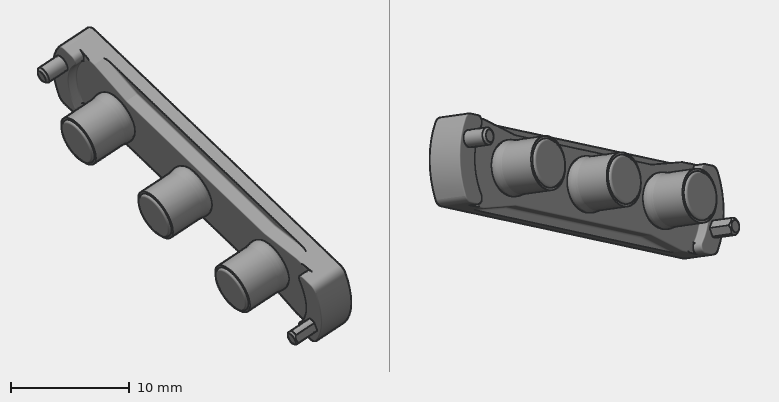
import cadquery as cq
import math

LENGTH = 35.52
HEIGHT = 7.65
PLATE_DEPTH = 3.37
END_RADIUS = 7.45
CORNER_RADIUS = 0.85
BACK_ROUND = 0.2
EDGE_ROUND = 0.1
END_CENTER = LENGTH / 2 - END_RADIUS
TOLERANCE = 0.005

FLOOR_DEPTH = 2.5
POCKET_RADIUS = 5.35
PAD_TIP_RADIUS = 0.57

LEDGE_DEPTH = 1.28
LEDGE_ROUND = 0.16
LEDGE_HALF_LENGTH = 13.32
NARROW_HALF_LENGTH = 9.1
NARROW_HALF_HEIGHT = 3.02

POST_SPACING = 10.15
POST_END = 7.07
POST_RADIUS = 2.3
BEAD_ROOT_RADIUS = 2.25
BEAD_FLARE_RADIUS = 2.38
BEAD_RADIUS = 2.4
BEAD_TAPER_RADIUS = 2.35
BEAD_FLARE = FLOOR_DEPTH + 0.2
BEAD_START = FLOOR_DEPTH + 0.4
BEAD_STOP = FLOOR_DEPTH + 0.57
BEAD_TAPER_END = FLOOR_DEPTH + 0.95
BEAD_END = FLOOR_DEPTH + 1.17

PLUG_RADIUS = 2.1
PLUG_LENGTH = 0.25
PLUG_ROUND = 0.2

PIN_X = 16.48
PIN_Z = 1.6
PIN_END = 5.6
PIN_RADIUS = 0.75
PIN_CHAMFER = 0.2
DIAMOND_HALF_WIDTH = 0.7
DIAMOND_ARC_HALF_WIDTH = 0.32


def front_plane(depth):
    """Sketch plane parallel to XZ, the given distance in front of the back; extrusions go toward -Y."""
    return cq.Workplane("XZ", origin=(0, -depth, 0))


def arc_ended_bar(depth, radius, thickness):
    """Bar of the plate's height whose ends are arcs about the two end centres."""
    half_height = HEIGHT / 2
    corner_x = END_CENTER + math.sqrt(radius**2 - half_height**2)
    tip_x = END_CENTER + radius
    return (
        front_plane(depth)
        .moveTo(-corner_x, -half_height)
        .lineTo(corner_x, -half_height)
        .threePointArc((tip_x, 0), (corner_x, half_height))
        .lineTo(-corner_x, half_height)
        .threePointArc((-tip_x, 0), (-corner_x, -half_height))
        .close()
        .extrude(thickness)
    )


def ledge_cutter(side):
    """Trapezoid removed from the long side at +Z (side = 1) or -Z (side = -1)."""
    outer_z = side * HEIGHT / 2
    inner_z = side * NARROW_HALF_HEIGHT
    return (
        front_plane(LEDGE_DEPTH)
        .polyline(
            [
                (-LEDGE_HALF_LENGTH, outer_z),
                (-NARROW_HALF_LENGTH, inner_z),
                (NARROW_HALF_LENGTH, inner_z),
                (LEDGE_HALF_LENGTH, outer_z),
            ]
        )
        .close()
        .extrude(PLATE_DEPTH - LEDGE_DEPTH)
    )


def polar(radius, angle, center=(0, 0)):
    """Point at a radius and an angle, in radians, about a centre."""
    return (center[0] + radius * math.cos(angle), center[1] + radius * math.sin(angle))


def pad_tip_cutter():
    """Wedge that rounds the pad tip at +X, +Z; its bottom slopes back from the floor toward the outside."""
    top_z = HEIGHT / 2
    inner_radius = POCKET_RADIUS - EDGE_ROUND

    round_z = top_z - PAD_TIP_RADIUS
    wall_angle = math.asin(round_z / (POCKET_RADIUS + PAD_TIP_RADIUS))
    round_center = polar(POCKET_RADIUS + PAD_TIP_RADIUS, wall_angle)
    inner_end_angle = math.asin(top_z / inner_radius)
    round_middle_angle = (wall_angle + 1.5 * math.pi) / 2
    prism = (
        front_plane(0)
        .moveTo(*polar(POCKET_RADIUS, wall_angle))
        .threePointArc(polar(PAD_TIP_RADIUS, round_middle_angle, round_center), (round_center[0], top_z))
        .lineTo(*polar(inner_radius, inner_end_angle))
        .threePointArc(
            polar(inner_radius, (wall_angle + inner_end_angle) / 2),
            polar(inner_radius, wall_angle),
        )
        .close()
        .extrude(PLATE_DEPTH)
    )

    outer_radius = math.hypot(round_center[0], top_z)
    ring = (
        cq.Workplane("XY")
        .moveTo(inner_radius, -FLOOR_DEPTH)
        .lineTo(outer_radius, -FLOOR_DEPTH + EDGE_ROUND)
        .lineTo(outer_radius, -PLATE_DEPTH)
        .lineTo(inner_radius, -PLATE_DEPTH)
        .close()
        .revolve(360, (0, 0, 0), (0, 1, 0))
    )
    return prism.intersect(ring).translate((END_CENTER, 0, 0))


def slab(depth):
    """Selector for what lies within a hair of the given distance in front of the back."""
    near = (-LENGTH, -depth - TOLERANCE, -LENGTH)
    far = (LENGTH, -depth + TOLERANCE, LENGTH)
    return cq.selectors.BoxSelector(near, far)


def make_plate():
    plate = arc_ended_bar(0, END_RADIUS, PLATE_DEPTH)
    plate = plate.edges("|Y").fillet(CORNER_RADIUS)
    plate = plate.faces(">Y").edges().fillet(BACK_ROUND)

    plate = plate.cut(arc_ended_bar(FLOOR_DEPTH, POCKET_RADIUS, PLATE_DEPTH - FLOOR_DEPTH))
    plate = plate.faces(slab(FLOOR_DEPTH)).edges("%CIRCLE").fillet(EDGE_ROUND)

    for side in (1, -1):
        plate = plate.cut(ledge_cutter(side))
    plate = plate.faces(slab(LEDGE_DEPTH)).edges("not(<Z or >Z)").fillet(LEDGE_ROUND)
    plate = plate.faces(slab(FLOOR_DEPTH)).edges("%LINE").fillet(EDGE_ROUND)

    tip = pad_tip_cutter()
    for cutter in (tip, tip.mirror("YZ")):
        plate = plate.cut(cutter).cut(cutter.mirror("XY"))
    return plate.faces("<Y").edges().fillet(EDGE_ROUND)


def make_post(x):
    plug_base = POST_END - PLUG_LENGTH
    profile = (
        cq.Workplane("XY")
        .moveTo(0, -FLOOR_DEPTH)
        .lineTo(BEAD_ROOT_RADIUS, -FLOOR_DEPTH)
        .threePointArc((BEAD_FLARE_RADIUS, -BEAD_FLARE), (BEAD_RADIUS, -BEAD_START))
        .lineTo(BEAD_RADIUS, -BEAD_STOP)
        .lineTo(BEAD_TAPER_RADIUS, -BEAD_TAPER_END)
        .lineTo(POST_RADIUS, -BEAD_END)
        .lineTo(POST_RADIUS, -plug_base)
        .lineTo(PLUG_RADIUS, -plug_base)
        .lineTo(PLUG_RADIUS, -POST_END)
        .lineTo(0, -POST_END)
        .close()
    )
    post = profile.revolve(360, (0, 0, 0), (0, 1, 0))
    return post.faces("<Y").edges().fillet(PLUG_ROUND).translate((x, 0, 0))


def make_round_pin(x, z):
    pin = front_plane(FLOOR_DEPTH).center(x, z).circle(PIN_RADIUS).extrude(PIN_END - FLOOR_DEPTH)
    return pin.faces("<Y").chamfer(PIN_CHAMFER)


def make_diamond_pin(x, z):
    """Round pin with four flats that meet in an edge on its -X and +X sides."""
    flat_z = math.sqrt(PIN_RADIUS**2 - DIAMOND_ARC_HALF_WIDTH**2)
    slope = flat_z / (DIAMOND_HALF_WIDTH - DIAMOND_ARC_HALF_WIDTH)
    peak_z = slope * DIAMOND_HALF_WIDTH
    rhombus = (
        front_plane(FLOOR_DEPTH)
        .center(x, z)
        .polyline([(-DIAMOND_HALF_WIDTH, 0), (0, peak_z), (DIAMOND_HALF_WIDTH, 0), (0, -peak_z)])
        .close()
        .extrude(PIN_END - FLOOR_DEPTH)
    )
    return make_round_pin(x, z).intersect(rhombus)


result = make_plate()
for post_x in (-POST_SPACING, 0, POST_SPACING):
    result = result.union(make_post(post_x))
result = result.union(make_round_pin(-PIN_X, PIN_Z))
result = result.union(make_diamond_pin(PIN_X, -PIN_Z))